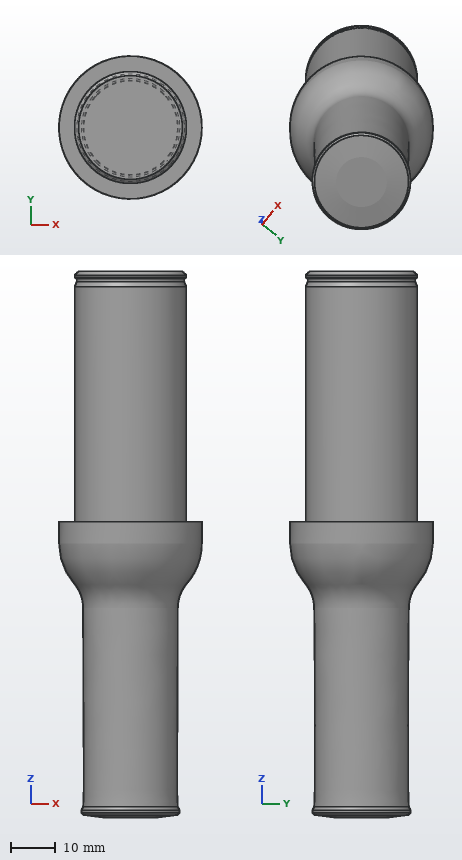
import cadquery as cq
import math

total_height = 122.0

rod_radius = 25.0 / 2
rod_bottom = 66.1
groove_radius = 12.02
groove_cone_start = 118.6
groove_floor_bottom = 119.7
groove_floor_top = 120.3
rim_bottom = 120.7
rim_top = 121.1
top_face_radius = 11.6

collar_radius = 32.0 / 2
collar_straight_bottom = 61.2
bowl_end_radius = 12.5
bowl_end_height = 52.1
stem_radius = 21.0 / 2
neck_end_radius = 10.6
stem_top = 46.8
band_top = 15.2
band_bottom = 6.1
foot_radius = 11.0
flare_end_radius = 10.6
foot_flare_top = 2.5
foot_land_top = 1.7
foot_land_bottom = 1.1
bottom_cone_radius = 10.5
bottom_cone_height = 0.6
bottom_flat_radius = 11.3 / 2


def arc_middle(start, end, radius, center):
    """Point halfway along the short arc from start to end about center."""
    mid_r = (start[0] + end[0]) / 2 - center[0]
    mid_z = (start[1] + end[1]) / 2 - center[1]
    stretch = radius / math.hypot(mid_r, mid_z)
    return center[0] + mid_r * stretch, center[1] + mid_z * stretch


def revolve_profile(profile):
    """Turn a closed (radius, height) profile around the Z axis."""
    return profile.close().revolve(360, (0, 0, 0), (0, 1, 0))


def make_rod():
    """Plain rod with a chamfered top rim above a shallow groove."""
    return revolve_profile(
        cq.Workplane("XZ")
        .moveTo(0, rod_bottom)
        .lineTo(rod_radius, rod_bottom)
        .lineTo(rod_radius, groove_cone_start)
        .lineTo(groove_radius, groove_floor_bottom)
        .lineTo(groove_radius, groove_floor_top)
        .lineTo(rod_radius, rim_bottom)
        .lineTo(rod_radius, rim_top)
        .lineTo(top_face_radius, total_height)
        .lineTo(0, total_height)
    )


def make_stem():
    """Collar with a rounded underside, blended into a tapered stem with a flared foot."""
    bowl_start = (collar_radius, collar_straight_bottom)
    bowl_end = (bowl_end_radius, bowl_end_height)
    neck_end = (neck_end_radius, stem_top)

    bowl_inset = collar_radius - bowl_end_radius
    bowl_drop = collar_straight_bottom - bowl_end_height
    bowl_radius = (bowl_inset**2 + bowl_drop**2) / (2 * bowl_inset)
    bowl_center = (collar_radius - bowl_radius, collar_straight_bottom)

    neck_flare = bowl_end_radius - neck_end_radius
    neck_rise = bowl_end_height - stem_top
    neck_radius = (neck_flare**2 + neck_rise**2) / (2 * neck_flare)
    neck_center = (neck_end_radius + neck_radius, stem_top)

    band_end = (stem_radius, band_bottom)
    flare_end = (flare_end_radius, foot_flare_top)
    flare_growth = flare_end_radius - stem_radius
    flare_height = band_bottom - foot_flare_top
    flare_radius = (flare_growth**2 + flare_height**2) / (2 * flare_growth)
    flare_center = (stem_radius + flare_radius, band_bottom)

    return revolve_profile(
        cq.Workplane("XZ")
        .moveTo(0, rod_bottom)
        .lineTo(collar_radius, rod_bottom)
        .lineTo(*bowl_start)
        .threePointArc(arc_middle(bowl_start, bowl_end, bowl_radius, bowl_center), bowl_end)
        .threePointArc(arc_middle(bowl_end, neck_end, neck_radius, neck_center), neck_end)
        .lineTo(stem_radius, band_top)
        .lineTo(*band_end)
        .threePointArc(arc_middle(band_end, flare_end, flare_radius, flare_center), flare_end)
        .lineTo(foot_radius, foot_land_top)
        .lineTo(foot_radius, foot_land_bottom)
        .lineTo(bottom_cone_radius, bottom_cone_height)
        .lineTo(bottom_flat_radius, 0)
        .lineTo(0, 0)
    )


rod = make_rod()
stem = make_stem()

result = cq.Compound.makeCompound([rod.val(), stem.val()])